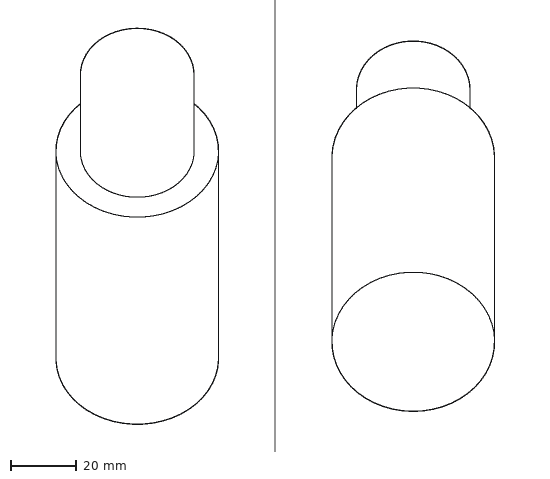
import cadquery as cq

total_height = 150
body_diameter = 50.0
pin_diameter = 35.0
body_height = 109.0
pin_height = total_height - body_height
top_edge_radius = 1.0

body = cq.Workplane("XY").circle(body_diameter / 2).extrude(body_height)

pin = (
    cq.Workplane("XY", origin=(0, 0, body_height))
    .circle(pin_diameter / 2)
    .extrude(pin_height)
    .faces(">Z")
    .edges()
    .fillet(top_edge_radius)
)

result = body.union(pin)